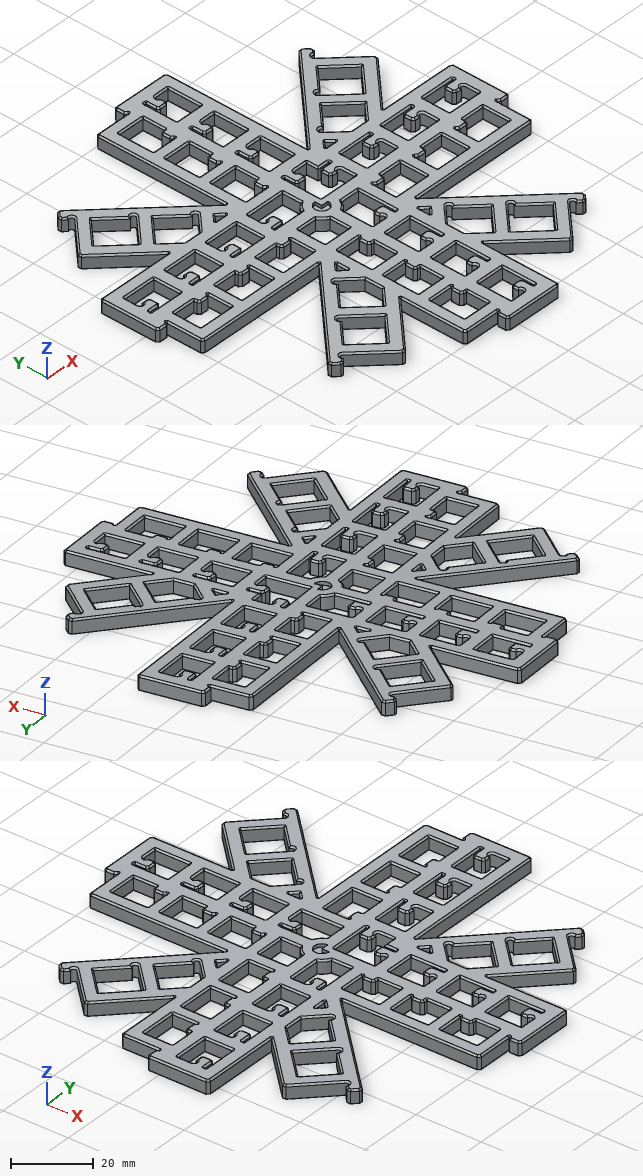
import cadquery as cq
import math

thickness = 4.0
top_chamfer = 0.5
corner_chamfer = 0.75
pitch = 15.0
cells = 4
tab_length = 4.0
arm_half_width = 15.0
spine_half_width = 2.25
rail = 4.25
plain_rung = 4.0
hook_rung = 4.5
tab_reach = 4.0
hook_width = 3.75
hook_gap = 0.5
neck_radius = 0.75
diagonal_edge = 2.0
diagonal_width = 17.0
diagonal_window = 10.5
hub_radius = 5.25
recess_radius = 2.25
recess_depth = 1.0

ladder_end = cells * pitch
arm_end = ladder_end + tab_length
window_outer = arm_half_width - rail
stations = [pitch * i for i in range(1, cells + 1)]



def block(x0, x1, y0, y1):
    """Full-height box between two X and two Y limits."""
    return (cq.Workplane("XY")
            .box(x1 - x0, y1 - y0, thickness, centered=False)
            .translate((x0, y0, 0)))


def beveled_block(x0, x1, y0, y1, corners):
    """Full-height box with some of its upright corners beveled."""
    return block(x0, x1, y0, y1).edges(corners).chamfer(corner_chamfer)


def relief(x_wall, y_edge, direction):
    """Round cutter centred on y_edge and touching the wall at x_wall."""
    return (cq.Workplane("XY")
            .center(x_wall + direction * neck_radius, y_edge)
            .circle(neck_radius).extrude(thickness))


def turned(shape):
    """Swap X and Y: an arm along +X becomes one along +Y."""
    return shape.mirror("YZ").rotate((0, 0, 0), (0, 0, 1), -90)


def placed_arms(toward_left, toward_right):
    """Lay copies along -X, +Y, +X and -Y; the first shape serves -X and +Y."""
    return (toward_left.mirror("YZ")
            .union(turned(toward_left))
            .union(toward_right)
            .union(turned(toward_right).mirror("XZ")))


def arm_plate():
    """Outline of one straight arm: a long hook side and a shorter tab side."""
    hook_side = beveled_block(0, arm_end, -spine_half_width, arm_half_width, ">X and >Y and |Z")
    tab_side = beveled_block(0, ladder_end, -arm_half_width, 0, ">X and <Y and |Z")
    return hook_side.union(tab_side)


def hook_side_windows():
    """Windows between the rungs that carry hooks; the innermost reaches the spine."""
    windows = block(spine_half_width, pitch + tab_length - hook_rung, spine_half_width, window_outer)
    for x in stations[1:]:
        windows = windows.union(block(x - pitch + tab_length, x + tab_length - hook_rung,
                                      spine_half_width, window_outer))
    return windows


def tab_side_windows():
    """Windows between the plain rungs on the tab side."""
    windows = None
    for x in stations[1:]:
        window = block(x - pitch, x - plain_rung, -window_outer, -spine_half_width)
        windows = window if windows is None else windows.union(window)
    return windows


def corner_window():
    """Square window where the tab sides of the -X and -Y arms meet at the center."""
    return block(-window_outer, -spine_half_width, -window_outer, -spine_half_width)


def tabs():
    """Beveled tabs below the spine, each against the outer face of a plain rung."""
    row = None
    for x in stations:
        tab = beveled_block(x, x + tab_length, -tab_reach, spine_half_width, "<Y and |Z")
        row = tab if row is None else row.union(tab)
    return row


def hooks_near_spine():
    """Hooks reaching inward from their rungs, a narrow slot away from the spine."""
    y0 = spine_half_width + hook_gap
    y1 = y0 + hook_width
    row = None
    for x in stations:
        root = x + tab_length - hook_rung
        hook = beveled_block(root - tab_length, root, y0, y1, "<X and |Z")
        hook = hook.union(block(root, root + hook_rung, y0, y1))
        hook = hook.cut(relief(root, y1, -1))
        row = hook if row is None else row.union(hook)
    return row


def hooks_near_rail():
    """The same hooks flipped across the window, beside the outer rail."""
    return hooks_near_spine().mirror("XZ").translate((0, spine_half_width + window_outer, 0))


def diagonal_arm():
    """One diagonal arm along +X: a hooked bar over a single row of windows on its -Y side."""
    latch_edge = diagonal_edge - hook_width
    window_far = -spine_half_width - diagonal_window
    arm = beveled_block(0, arm_end, latch_edge, diagonal_edge, ">X and |Z")
    arm = arm.union(beveled_block(0, ladder_end, -diagonal_width, 0, ">X and <Y and |Z"))
    for x in stations[1:]:
        arm = arm.cut(block(x - pitch, x - plain_rung, window_far, -spine_half_width))
    for x in stations:
        arm = arm.cut(relief(x, latch_edge, 1))
    for x in stations[:-1]:
        arm = arm.cut(block(x, x + 2 * neck_radius, -spine_half_width, latch_edge))
    return arm


def diagonal_arms():
    """Four diagonal arms: mirrored above, and turned a quarter circle below."""
    upper_right = diagonal_arm().rotate((0, 0, 0), (0, 0, 1), 45)
    upper_left = upper_right.mirror("YZ")
    lower_left = upper_left.rotate((0, 0, 0), (0, 0, 1), 90)
    return upper_right.union(upper_left).union(lower_left).union(lower_left.mirror("YZ"))


def three_quarter_disc(radius, height, base):
    """Disc about the Z axis with its +X +Y quadrant missing."""
    return (cq.Workplane("XY").workplane(offset=base)
            .moveTo(0, 0).lineTo(0, radius)
            .threePointArc((-radius * math.sqrt(0.5), -radius * math.sqrt(0.5)), (radius, 0))
            .close().extrude(height))


def cross():
    """Four straight arms with windows, tabs and hooks."""
    plate = placed_arms(arm_plate(), arm_plate())
    openings = hook_side_windows().union(tab_side_windows())
    body = plate.cut(placed_arms(openings, openings))
    body = body.cut(corner_window())
    body = body.union(placed_arms(tabs(), tabs()))
    return body.union(placed_arms(hooks_near_spine(), hooks_near_rail()))


def cross_footprint():
    """The two bands covered by the straight arms, which the diagonals stop at."""
    band = block(-ladder_end, ladder_end, -arm_half_width, arm_half_width)
    return band.union(turned(band))


def tapered(wire, angle):
    """Solid from a wire at Z = 0, tapering by the angle over the height of the bevel."""
    solid = cq.Solid.extrudeLinear(wire, [], cq.Vector(0, 0, top_chamfer), angle)
    return solid if solid.Center().z > 0 else solid.mirror("XY")


def top_beveled(plate):
    """Rebuild a plain plate with a 45 degree bevel around all edges of its top face."""
    straight_height = thickness - top_chamfer
    outline = plate.faces("<Z").val()
    slab = cq.Solid.extrudeLinear(outline, cq.Vector(0, 0, straight_height))
    flares = [tapered(wire, -45) for wire in outline.innerWires()]
    rim = tapered(outline.outerWire(), 45).cut(*flares)
    rim = rim.moved(cq.Location(cq.Vector(0, 0, straight_height)))
    return cq.Workplane("XY").newObject([slab]).union(cq.Workplane("XY").newObject([rim]))


def star():
    """Square-edged plate: the cross, the diagonal arms outside it, and the hub."""
    plate = cross().union(diagonal_arms().cut(cross_footprint()))
    return plate.union(three_quarter_disc(hub_radius, thickness, 0))


recess = three_quarter_disc(recess_radius, recess_depth, thickness - recess_depth)
result = top_beveled(star()).cut(recess)